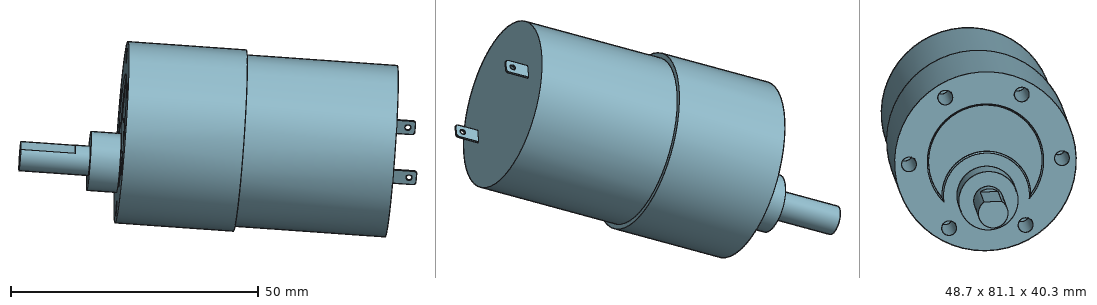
import cadquery as cq

yaw_angle = -15.0
pitch_angle = -5.0

gearbox_diameter = 36.8
gearbox_length = 24.0
motor_diameter = 34.8
motor_length = 30.7
rear_y = gearbox_length + motor_length

shaft_offset = 7.0
collar_diameter = 12.0
collar_length = 6.0
shaft_diameter = 6.0
shaft_length = 14.0
shaft_tip_y = -(collar_length + shaft_length)
flat_length = 11.0
flat_depth = 0.6

mount_hole_count = 6
mount_hole_diameter = 3.0
mount_hole_circle = 31.0
mount_hole_depth = 12.0

recess_diameter = 23.0
recess_depth = 0.5
recess_chamfer = 0.3
island_diameter = 18.0

terminal_spacing = 22.3
terminal_length = 5.0
terminal_width = 3.0
terminal_thickness = 0.4
terminal_corner_radius = 0.6
terminal_hole_diameter = 1.2
terminal_hole_inset = 1.5


def cylinder(diameter, start_y, end_y, z=0.0):
    """Cylinder parallel to Y, running from start_y to end_y at height z."""
    return (
        cq.Workplane("XZ", origin=(0, start_y, z))
        .circle(diameter / 2)
        .extrude(start_y - end_y)
    )


def make_housing():
    gearbox = cylinder(gearbox_diameter, 0, gearbox_length)
    motor = cylinder(motor_diameter, gearbox_length, rear_y)
    return gearbox.union(motor)


def chamfer_cone(face_diameter, floor_diameter, z=0.0):
    """Cone frustum parallel to Y, from the gearbox face down to the chamfer depth."""
    return (
        cq.Workplane("XZ", origin=(0, 0, z))
        .circle(face_diameter / 2)
        .workplane(offset=-recess_chamfer)
        .circle(floor_diameter / 2)
        .loft()
    )


def make_face_recess():
    """Shallow crescent with chamfered rims: a round recess less the island around the shaft."""
    recess = cylinder(recess_diameter, 0, recess_depth)
    island = cylinder(island_diameter, 0, recess_depth, -shaft_offset)
    recess_rim = chamfer_cone(recess_diameter + 2 * recess_chamfer, recess_diameter)
    island_rim = chamfer_cone(island_diameter - 2 * recess_chamfer, island_diameter, -shaft_offset)
    return recess.cut(island).union(recess_rim.cut(island_rim))


def make_mount_holes():
    return (
        cq.Workplane("XZ")
        .polarArray(mount_hole_circle / 2, 0, 360, mount_hole_count)
        .circle(mount_hole_diameter / 2)
        .extrude(-mount_hole_depth)
    )


def make_output_shaft():
    """Collar and D-shaped shaft, set below the housing axis."""
    collar = cylinder(collar_diameter, 0, -collar_length, -shaft_offset)
    shaft = cylinder(shaft_diameter, -collar_length, shaft_tip_y, -shaft_offset)
    flat_z = shaft_diameter / 2 - flat_depth - shaft_offset
    flat_cut = cq.Workplane("XY", origin=(0, shaft_tip_y, flat_z)).box(
        shaft_diameter, flat_length, shaft_diameter, centered=(True, False, False)
    )
    return collar.union(shaft.cut(flat_cut))


def make_terminal(x):
    """Flat solder tab with rounded outer corners and a cross hole."""
    tab = (
        cq.Workplane("XY", origin=(x, rear_y, 0))
        .box(terminal_thickness, terminal_length, terminal_width, centered=(True, False, True))
        .edges(">Y and |X")
        .fillet(terminal_corner_radius)
    )
    hole_y = rear_y + terminal_length - terminal_hole_inset
    hole = (
        cq.Workplane("YZ", origin=(x, hole_y, 0))
        .circle(terminal_hole_diameter / 2)
        .extrude(terminal_thickness, both=True)
    )
    return tab.cut(hole)


body = make_housing().cut(make_face_recess()).cut(make_mount_holes())
body = body.union(make_output_shaft())
for side in (-1, 1):
    body = body.union(make_terminal(side * terminal_spacing / 2))

result = body.rotate((0, 0, 0), (0, 0, 1), yaw_angle).rotate((0, 0, 0), (1, 0, 0), pitch_angle)